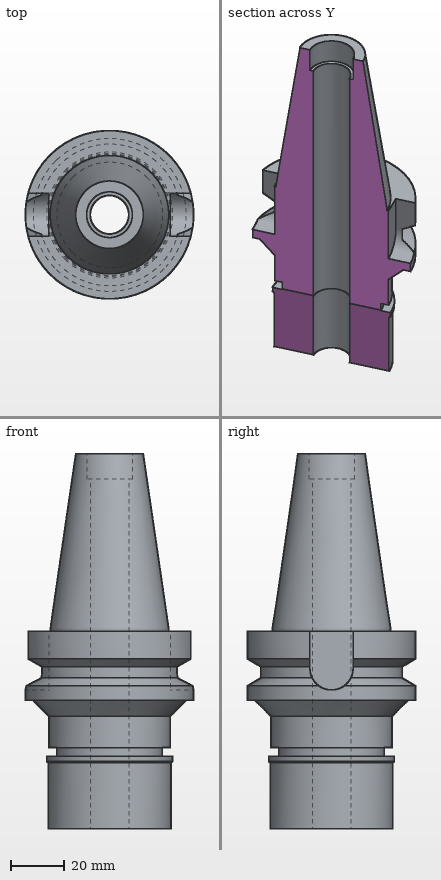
import cadquery as cq

TOTAL_HEIGHT = 140.4

NUT_RADIUS = 23.0
NUT_COLLAR_RADIUS = 23.6
NUT_COLLAR_BOTTOM = 25.3
NUT_COLLAR_CHAMFER = NUT_COLLAR_RADIUS - NUT_RADIUS
NUT_TOP = 27.2

NECK_RADIUS = 19.8
NECK_TOP = 30.3
BODY_RADIUS = 22.7
BODY_TOP = 42.1

FLANGE_RADIUS = 31.52
FLANGE_BOTTOM = 48.0
FLANGE_TOP = 74.0
CONE_TOP_RADIUS = BODY_RADIUS + (FLANGE_BOTTOM - BODY_TOP)
GROOVE_RADIUS = 26.5
GROOVE_BOTTOM = 53.5
GROOVE_TOP = 63.6
GROOVE_SIDE_HEIGHT = 3.0

TAPER_RATIO = 7 / 24
TAPER_BOTTOM = 75.0
TAPER_LARGE_RADIUS = 22.2
TAPER_SMALL_RADIUS = TAPER_LARGE_RADIUS - (TOTAL_HEIGHT - TAPER_BOTTOM) * TAPER_RATIO / 2

BORE_RADIUS = 7.2
MOUTH_RADIUS = 8.5
MOUTH_DEPTH = 9.4

SLOT_WIDTH = 16.1
SLOT_BOTTOM = 52.0
SLOT_FLOOR_X = 22.7


def revolve_profile(points):
    """Revolve a closed (radius, height) outline about the Z axis."""
    return cq.Workplane("XZ").polyline(points).close().revolve(360, (0, 0, 0), (0, 1, 0))


def make_drive_slot(side):
    """Slot cutter pointing outward along X; side is +1 or -1."""
    half_width = SLOT_WIDTH / 2
    arc_center_z = SLOT_BOTTOM + half_width
    return (
        cq.Workplane("YZ", origin=(side * SLOT_FLOOR_X, 0, 0))
        .moveTo(-half_width, FLANGE_TOP)
        .lineTo(-half_width, arc_center_z)
        .threePointArc((0, SLOT_BOTTOM), (half_width, arc_center_z))
        .lineTo(half_width, FLANGE_TOP)
        .close()
        .extrude(side * FLANGE_RADIUS)
    )


def make_holder():
    """Taper shank, grooved flange and neck, resting on the nut."""
    mouth_bottom = TOTAL_HEIGHT - MOUTH_DEPTH
    holder = revolve_profile([
        (BORE_RADIUS, NUT_TOP),
        (NECK_RADIUS, NUT_TOP),
        (NECK_RADIUS, NECK_TOP),
        (BODY_RADIUS, NECK_TOP),
        (BODY_RADIUS, BODY_TOP),
        (CONE_TOP_RADIUS, FLANGE_BOTTOM),
        (FLANGE_RADIUS, FLANGE_BOTTOM),
        (FLANGE_RADIUS, GROOVE_BOTTOM),
        (GROOVE_RADIUS, GROOVE_BOTTOM + GROOVE_SIDE_HEIGHT),
        (GROOVE_RADIUS, GROOVE_TOP - GROOVE_SIDE_HEIGHT),
        (FLANGE_RADIUS, GROOVE_TOP),
        (FLANGE_RADIUS, FLANGE_TOP),
        (TAPER_LARGE_RADIUS, FLANGE_TOP),
        (TAPER_LARGE_RADIUS, TAPER_BOTTOM),
        (TAPER_SMALL_RADIUS, TOTAL_HEIGHT),
        (MOUTH_RADIUS, TOTAL_HEIGHT),
        (MOUTH_RADIUS, mouth_bottom),
        (BORE_RADIUS, mouth_bottom),
    ])
    for side in (-1, 1):
        holder = holder.cut(make_drive_slot(side))
    return holder


def make_nut():
    """Clamping nut with a slightly wider collar at its upper end."""
    return revolve_profile([
        (BORE_RADIUS, 0),
        (NUT_RADIUS, 0),
        (NUT_RADIUS, NUT_COLLAR_BOTTOM - NUT_COLLAR_CHAMFER),
        (NUT_COLLAR_RADIUS, NUT_COLLAR_BOTTOM),
        (NUT_COLLAR_RADIUS, NUT_TOP),
        (BORE_RADIUS, NUT_TOP),
    ])


holder = make_holder()
nut = make_nut()
result = cq.Compound.makeCompound([holder.val(), nut.val()])